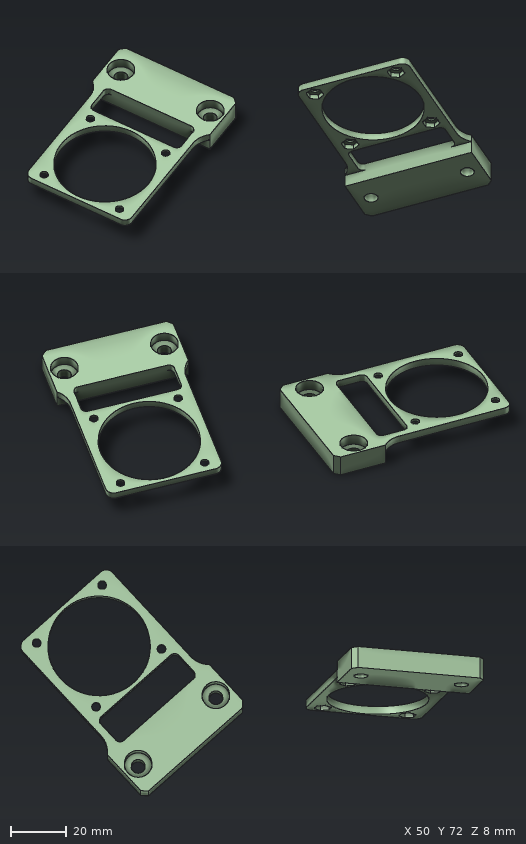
import cadquery as cq
import math

block_width = 50.0
block_depth = 20.0
block_height = 8.0
block_chamfer = 2.0

total_depth = 72.0
plate_width = 43.9
plate_thickness = 3.0
plate_corner_radius = 3.0
neck_radius = 9.0

fan_opening_diameter = 37.0
fan_hole_spacing = 32.0
fan_hole_diameter = 3.0
fan_edge_distance = 20.0

nut_across_flats = 5.5
nut_pocket_depth = 2.0
nut_sides = 6

slot_width = 38.0
slot_depth = 12.0
slot_corner_radius = 2.0

mount_spacing = 38.0
mount_hole_diameter = 5.0
counterbore_diameter = 10.0
counterbore_depth = 4.0

front_y = -fan_edge_distance
back_y = front_y + total_depth
block_front_y = back_y - block_depth
plate_bottom_z = block_height - plate_thickness


def mounting_block():
    """Full-height block with chamfered rear corners."""
    block = cq.Workplane("XY").box(
        block_width, block_depth, block_height, centered=(True, False, False)
    )
    block = block.edges("|Z and >Y").chamfer(block_chamfer)
    return block.translate((0, block_front_y, 0))


def fan_plate():
    """Thin plate whose sides flare out to the block through concave arcs."""
    half_block = block_width / 2
    half_plate = plate_width / 2
    flare = half_block - half_plate
    sweep = math.acos(1 - flare / neck_radius)
    neck_start_y = block_front_y - neck_radius * math.sin(sweep)
    neck_mid_x = half_plate + neck_radius * (1 - math.cos(sweep / 2))
    neck_mid_y = neck_start_y + neck_radius * math.sin(sweep / 2)

    plate = (
        cq.Workplane("XY", origin=(0, 0, plate_bottom_z))
        .moveTo(-half_plate, front_y)
        .lineTo(half_plate, front_y)
        .lineTo(half_plate, neck_start_y)
        .threePointArc((neck_mid_x, neck_mid_y), (half_block, block_front_y))
        .lineTo(-half_block, block_front_y)
        .threePointArc((-neck_mid_x, neck_mid_y), (-half_plate, neck_start_y))
        .close()
        .extrude(plate_thickness)
    )
    return plate.edges("|Z and <Y").fillet(plate_corner_radius)


def slot_cutter():
    """Rounded rectangular window running along the front face of the block."""
    slot = cq.Workplane("XY").box(
        slot_width, slot_depth, block_height, centered=(True, False, False)
    )
    slot = slot.edges("|Z").fillet(slot_corner_radius)
    return slot.translate((0, block_front_y - slot_depth, 0))


def at_fan_holes(workplane):
    """Select the four fan screw positions, on a square about the fan axis."""
    return workplane.rect(fan_hole_spacing, fan_hole_spacing, forConstruction=True).vertices()


def fan_cutter():
    """Round fan opening with a screw hole near each corner of the fan."""
    opening = cq.Workplane("XY").circle(fan_opening_diameter / 2).extrude(block_height)
    screw_holes = (
        at_fan_holes(cq.Workplane("XY"))
        .circle(fan_hole_diameter / 2)
        .extrude(block_height)
    )
    return opening.union(screw_holes)


def nut_pocket_cutter():
    """Hexagonal pockets in the plate underside, with flats facing the plate sides."""
    across_corners = nut_across_flats / math.cos(math.pi / nut_sides)
    hexagon = (
        cq.Workplane("XY")
        .transformed(rotate=(0, 0, 90))
        .polygon(nut_sides, across_corners)
        .extrude(nut_pocket_depth)
        .val()
    )
    pocket_plane = cq.Workplane("XY", origin=(0, 0, plate_bottom_z))
    return at_fan_holes(pocket_plane).eachpoint(lambda location: hexagon.moved(location))


def add_mounting_holes(body):
    """Counterbored through holes, opened from the top of the block."""
    mount_y = block_front_y + block_depth / 2
    return (
        body.copyWorkplane(cq.Workplane("XY", origin=(0, 0, block_height)))
        .pushPoints([(-mount_spacing / 2, mount_y), (mount_spacing / 2, mount_y)])
        .cboreHole(mount_hole_diameter, counterbore_diameter, counterbore_depth)
    )


body = mounting_block().union(fan_plate())
body = body.cut(slot_cutter()).cut(fan_cutter()).cut(nut_pocket_cutter())
result = add_mounting_holes(body)